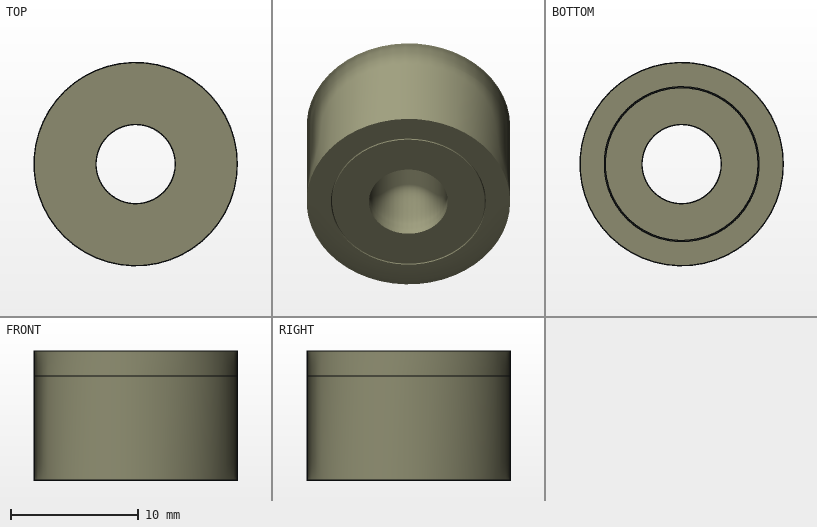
import cadquery as cq

outer_diameter = 16.0
bore_diameter = 6.2
hub_diameter = 12.0
ring_bore_diameter = 12.2
total_height = 10.2
flange_thickness = 2.0

ring_height = total_height - flange_thickness


def make_flanged_bushing():
    """Top flange with a hub that reaches down to the base, bored through."""
    hub = cq.Workplane("XY").circle(hub_diameter / 2).extrude(ring_height)
    flange = (
        cq.Workplane("XY")
        .workplane(offset=ring_height)
        .circle(outer_diameter / 2)
        .extrude(flange_thickness)
    )
    bore = cq.Workplane("XY").circle(bore_diameter / 2).extrude(total_height)
    return hub.union(flange).cut(bore)


def make_outer_ring():
    """Ring that fits around the hub with a small clearance, under the flange."""
    return (
        cq.Workplane("XY")
        .circle(outer_diameter / 2)
        .circle(ring_bore_diameter / 2)
        .extrude(ring_height)
    )


flanged_bushing = make_flanged_bushing()
outer_ring = make_outer_ring()

result = cq.Compound.makeCompound([flanged_bushing.val(), outer_ring.val()])